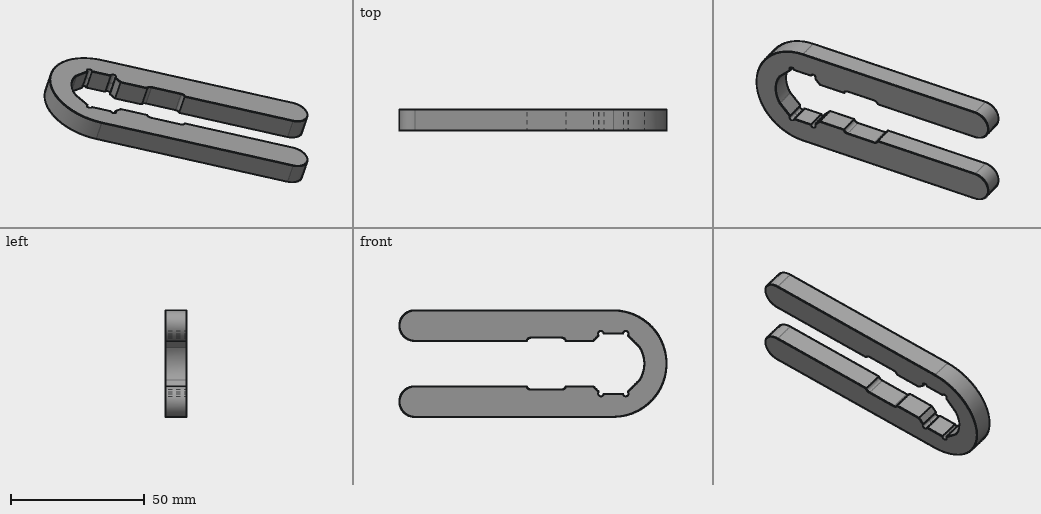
import cadquery as cq
import math

length = 100.0
thickness = 8.0
height = 40.0
edge_chamfer = 0.2

gap_height = 16.8
half_height = height / 2
half_gap = gap_height / 2
arm_end_radius = (half_height - half_gap) / 2
arm_middle_z = half_gap + arm_end_radius

seat_x = length - half_height
seat_flats = 22.4
seat_arc_radius = 11.5
relief_radius = 1.0
half_flat = seat_flats / 2
half_side = half_flat * math.tan(math.pi / 8)

recess_start = 47.7
recess_length = 14.5
recess_depth = 1.2
recess_fillet = 1.5


def xz_plane(x=0.0, y=0.0):
    return cq.Workplane("XZ", origin=(x, y, 0))


def plate(outline):
    """Extrude an XZ outline to the full thickness, centred on Y = 0."""
    return outline.extrude(thickness / 2, both=True)


def bow_body():
    """U-shaped body: two round-ended arms joined by a round bow."""
    outline = (
        xz_plane()
        .moveTo(arm_end_radius, half_height)
        .lineTo(seat_x, half_height)
        .threePointArc((length, 0), (seat_x, -half_height))
        .lineTo(arm_end_radius, -half_height)
        .threePointArc((0, -arm_middle_z), (arm_end_radius, -half_gap))
        .lineTo(seat_x, -half_gap)
        .lineTo(seat_x, half_gap)
        .lineTo(arm_end_radius, half_gap)
        .threePointArc((0, arm_middle_z), (arm_end_radius, half_height))
        .close()
    )
    return plate(outline)


def arm_recesses():
    """One rounded block across the gap that cuts the recess in both arms."""
    middle_x = recess_start + recess_length / 2
    block = plate(xz_plane(middle_x).rect(recess_length, gap_height + 2 * recess_depth))
    return block.edges("|Y").fillet(recess_fillet)


def seat_outline(y):
    """Octagon whose +X side is an arc about the seat centre, drawn at the given Y."""
    slant_sum = half_flat + half_side
    slant_difference = math.sqrt(2 * seat_arc_radius**2 - slant_sum**2)
    arc_x = (slant_sum + slant_difference) / 2
    arc_z = (slant_sum - slant_difference) / 2
    return (
        xz_plane(seat_x, y)
        .moveTo(-half_flat, half_side)
        .lineTo(-half_side, half_flat)
        .lineTo(half_side, half_flat)
        .lineTo(arc_x, arc_z)
        .threePointArc((seat_arc_radius, 0), (arc_x, -arc_z))
        .lineTo(half_side, -half_flat)
        .lineTo(-half_side, -half_flat)
        .lineTo(-half_flat, -half_side)
        .close()
    )


def nut_seat():
    """Seat prism whose walls flare outward at both faces, which chamfers the seat edges."""
    flare_start_y = -(thickness / 2 - edge_chamfer)
    flare = seat_outline(flare_start_y).extrude(edge_chamfer, taper=-45)
    return plate(seat_outline(0)).union(flare).union(flare.mirror("XZ"))


def corner_reliefs():
    """Round reliefs at the ends of the two seat flats."""
    corners = [(side * half_side, level * half_flat) for side in (-1, 1) for level in (-1, 1)]
    return plate(xz_plane(seat_x).pushPoints(corners).circle(relief_radius))


body = bow_body().cut(arm_recesses())
body = body.faces("<Y or >Y").chamfer(edge_chamfer)
result = body.cut(nut_seat()).cut(corner_reliefs())